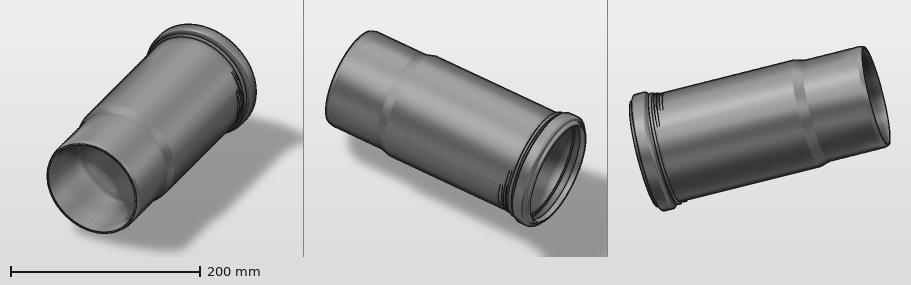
import cadquery as cq
import math

length = 255.0

barrel_outer = 116.4
barrel_inner = 111.0
spigot_outer = 110.2
spigot_inner = 104.2
lip_outer = 116.7
lip_inner = 111.3
bead_outer = 127.4
groove_diameter = 122.0
rib_outer = 121.4

spigot_length = 65.0
shoulder_length = 11.0
bore_shoulder_lead = 1.0
spigot_chamfer_length = 4.6
spigot_chamfer_angle = 15.0

lip_length = 3.7
bead_width = 14.8
bead_edge_radius = 3.0
bead_root_radius = 1.6
lip_root_radius = 1.2
lip_edge_radius = 1.6

first_rib_offset = 21.8
rib_pitch = 6.0
rib_width = 3.0
rib_edge_radius = 0.5
long_crescent_radius = 50.0
short_crescent_radius = 30.0

shoulder_end = spigot_length + shoulder_length
bore_shoulder_start = spigot_length - bore_shoulder_lead
bore_shoulder_end = shoulder_end - bore_shoulder_lead
bead_top = length - lip_length
bead_bottom = bead_top - bead_width
bead_wall = (bead_outer - groove_diameter) / 2
groove_top = bead_top - bead_wall
groove_bottom = bead_bottom + bead_wall


def revolve_profile(profile):
    """Turn a half profile, drawn as radius against Y, about the Y axis."""
    return profile.revolve(360, (0, 0, 0), (0, 1, 0))


def make_outside():
    """Solid bounded by the outer surface: spigot, shoulder, barrel, bead and lip."""
    chamfer_depth = spigot_chamfer_length * math.tan(math.radians(spigot_chamfer_angle))
    barrel_radius = barrel_outer / 2
    bead_radius = bead_outer / 2
    lip_radius = lip_outer / 2
    spigot_radius = spigot_outer / 2
    mid_arc = math.cos(math.radians(45))
    edge_sag = bead_edge_radius * (1 - mid_arc)
    root_sag = bead_root_radius * (1 - mid_arc)
    lip_root_sag = lip_root_radius * (1 - mid_arc)
    lip_sag = lip_edge_radius * (1 - mid_arc)
    profile = (
        cq.Workplane("XY")
        .moveTo(0, 0)
        .lineTo(spigot_radius - chamfer_depth, 0)
        .lineTo(spigot_radius, spigot_chamfer_length)
        .lineTo(spigot_radius, spigot_length)
        .lineTo(barrel_radius, shoulder_end)
        .lineTo(barrel_radius, bead_bottom - bead_root_radius)
        .threePointArc(
            (barrel_radius + root_sag, bead_bottom - root_sag),
            (barrel_radius + bead_root_radius, bead_bottom),
        )
        .lineTo(bead_radius - bead_edge_radius, bead_bottom)
        .threePointArc(
            (bead_radius - edge_sag, bead_bottom + edge_sag),
            (bead_radius, bead_bottom + bead_edge_radius),
        )
        .lineTo(bead_radius, bead_top - bead_edge_radius)
        .threePointArc(
            (bead_radius - edge_sag, bead_top - edge_sag),
            (bead_radius - bead_edge_radius, bead_top),
        )
        .lineTo(lip_radius + lip_root_radius, bead_top)
        .threePointArc(
            (lip_radius + lip_root_sag, bead_top + lip_root_sag),
            (lip_radius, bead_top + lip_root_radius),
        )
        .lineTo(lip_radius, length - lip_edge_radius)
        .threePointArc(
            (lip_radius - lip_sag, length - lip_sag),
            (lip_radius - lip_edge_radius, length),
        )
        .lineTo(0, length)
        .close()
    )
    return revolve_profile(profile)


def make_bore():
    """Cavity through the part, with the shoulder and the seal groove inside the bead."""
    profile = (
        cq.Workplane("XY")
        .moveTo(0, 0)
        .lineTo(spigot_inner / 2, 0)
        .lineTo(spigot_inner / 2, bore_shoulder_start)
        .lineTo(barrel_inner / 2, bore_shoulder_end)
        .lineTo(barrel_inner / 2, groove_bottom)
        .lineTo(groove_diameter / 2, groove_bottom)
        .lineTo(groove_diameter / 2, groove_top)
        .lineTo(lip_inner / 2, groove_top)
        .lineTo(lip_inner / 2, length)
        .lineTo(0, length)
        .close()
    )
    return revolve_profile(profile)


def make_rib_disc(crest_radius, position):
    """Disc with rounded rim edges about the Y axis; position counts ribs from the mouth."""
    rib_top = length - first_rib_offset - position * rib_pitch
    profile = (
        cq.Workplane("XY")
        .moveTo(0, rib_top - rib_width)
        .lineTo(crest_radius, rib_top - rib_width)
        .lineTo(crest_radius, rib_top)
        .lineTo(0, rib_top)
        .close()
    )
    return revolve_profile(profile).faces("<Y or >Y").edges().fillet(rib_edge_radius)


def make_crescent_pair(crest_radius, position):
    """Two off-centre discs that reach the rib diameter at -X and +X and fade into the barrel."""
    center_shift = rib_outer / 2 - crest_radius
    disc = make_rib_disc(crest_radius, position)
    left = disc.translate((-center_shift, 0, 0))
    right = disc.translate((center_shift, 0, 0))
    return left.union(right)


result = (
    make_outside()
    .union(make_rib_disc(rib_outer / 2, 0))
    .union(make_crescent_pair(long_crescent_radius, 1))
    .union(make_crescent_pair(short_crescent_radius, 2))
    .cut(make_bore())
)